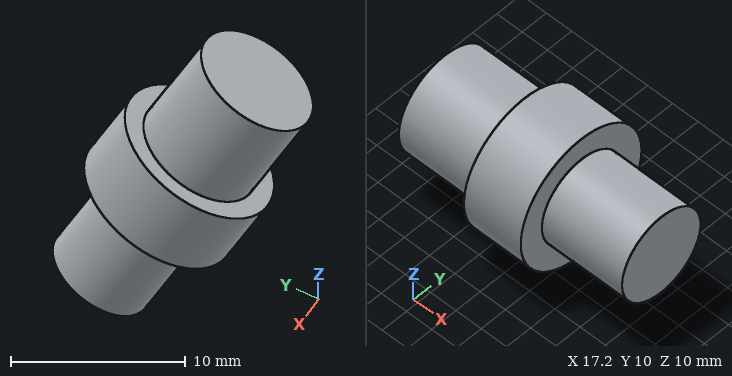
import cadquery as cq

total_length = 17.2
collar_length = 4.5
collar_diameter = 10.0
thick_end_diameter = 7.5
thin_end_diameter = 6.5

end_length = (total_length - collar_length) / 2


def cylinder_along_x(start_x, length, diameter):
    """Solid cylinder centred on the X axis, running toward +X from start_x."""
    return cq.Workplane("YZ", origin=(start_x, 0, 0)).circle(diameter / 2).extrude(length)


collar_start = -collar_length / 2

thick_end = cylinder_along_x(collar_start - end_length, end_length, thick_end_diameter)
collar = cylinder_along_x(collar_start, collar_length, collar_diameter)
thin_end = cylinder_along_x(collar_start + collar_length, end_length, thin_end_diameter)

result = thick_end.union(collar).union(thin_end)